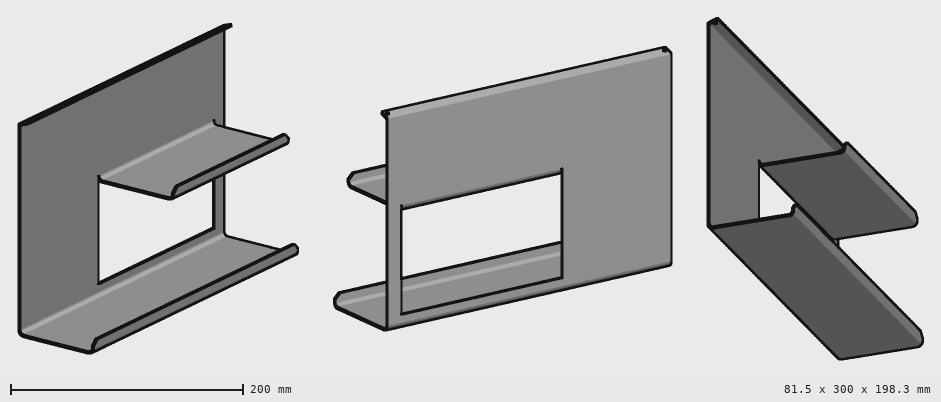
import cadquery as cq
import math

length = 300.0
height = 198.3
sheet = 2.0
bend_radius = 5.5
lip_chamfer = 5.0

lower_depth = 80.5
lower_lip_height = 12.5
shelf_end_step = 0.5

upper_depth = 81.5
upper_bottom = 106.8
upper_lip_height = 11.7
window_bottom = 13.0
window_top = upper_bottom + bend_radius
window_width = 170.0
window_margin = 14.5
tab_clearance = 1.0

flange_angle = 20.0
flange_reach = 10.0
flange_bend_radius = 2.5
flange_corner_radius = 1.0
hole_diameter = 2.7
hole_x = 5.5
hole_end_distance = 3.5

plate_start = shelf_end_step
plate_length = length - plate_start


def extrude_along_y(profile, start, distance):
    """Extrude an XZ profile from Y = start towards +Y."""
    return profile.extrude(-distance).translate((0, start, 0))


def shelf(bottom, depth, lip_height, start, width):
    """Shelf with a bend to the back plate and an upturned front lip with bevelled corners."""
    inner_radius = bend_radius - sheet
    bend_top = bottom + bend_radius
    lip_top = bottom + lip_height
    diagonal = math.sqrt(0.5)
    outer_mid = bend_radius * (1 - diagonal)
    inner_mid = bend_radius - inner_radius * diagonal
    profile = (
        cq.Workplane("XZ")
        .moveTo(0, bend_top)
        .threePointArc((outer_mid, bottom + outer_mid), (bend_radius, bottom))
        .lineTo(depth - bend_radius, bottom)
        .threePointArc((depth - outer_mid, bottom + outer_mid), (depth, bend_top))
        .lineTo(depth, lip_top)
        .lineTo(depth - sheet, lip_top)
        .lineTo(depth - sheet, bend_top)
        .threePointArc((depth - inner_mid, bottom + inner_mid), (depth - bend_radius, bottom + sheet))
        .lineTo(bend_radius, bottom + sheet)
        .threePointArc((inner_mid, bottom + inner_mid), (sheet, bend_top))
        .close()
    )
    lip_corners = cq.selectors.BoxSelector(
        (depth - 2 * sheet, start - sheet, lip_top - sheet / 2),
        (depth + sheet, start + width + sheet, lip_top + sheet / 2),
    )
    blank = extrude_along_y(profile, start, width)
    return blank.edges("|X").edges(lip_corners).chamfer(lip_chamfer)


def back_plate():
    """Vertical plate with the tab window cut through it."""
    plate = cq.Workplane("XY").box(
        sheet, plate_length, bend_center_z - bend_radius, centered=False
    ).translate((0, plate_start, bend_radius))
    window = cq.Workplane("XY").box(
        sheet, window_width, window_top - window_bottom, centered=False
    ).translate((0, window_start, window_bottom))
    return plate.cut(window)


def top_flange():
    """Bend and sloping strip that continue the back plate at its top edge."""
    inner_radius = flange_bend_radius - sheet

    def on_bend(radius, degrees):
        angle = math.radians(degrees)
        return (
            flange_bend_radius + radius * math.cos(angle),
            bend_center_z + radius * math.sin(angle),
        )

    bend_end = 90 + flange_angle
    bend_middle = (180 + bend_end) / 2
    profile = (
        cq.Workplane("XZ")
        .moveTo(0, bend_center_z)
        .threePointArc(on_bend(flange_bend_radius, bend_middle), on_bend(flange_bend_radius, bend_end))
        .lineTo(strip_top_x, height)
        .lineTo(flange_reach, height - sheet * math.cos(slope))
        .lineTo(*on_bend(inner_radius, bend_end))
        .threePointArc(on_bend(inner_radius, bend_middle), (sheet, bend_center_z))
        .close()
    )
    flange = extrude_along_y(profile, plate_start, plate_length)
    free_edge = cq.Vector(math.cos(slope), 0, math.sin(slope))
    tip = cq.selectors.DirectionMinMaxSelector(free_edge)
    flange = flange.faces(tip).edges("#Y").fillet(flange_corner_radius)

    rise = (strip_top_x - hole_x) * math.tan(slope)
    normal = cq.Vector(-math.sin(slope), 0, math.cos(slope))
    for y in (plate_start + hole_end_distance, length - hole_end_distance):
        outer_point = cq.Vector(hole_x, y, height - rise)
        drill_start = outer_point - normal * (2 * sheet)
        hole = cq.Solid.makeCylinder(hole_diameter / 2, 4 * sheet, drill_start, normal)
        flange = flange.cut(cq.Workplane(hole))
    return flange


def shelf_end_strip():
    """Flat -Y edge of the lower shelf between its two bends."""
    return cq.Workplane("XY").box(
        lower_depth - 2 * bend_radius, shelf_end_step, sheet, centered=False
    ).translate((bend_radius, 0, 0))


slope = math.radians(flange_angle)
strip_top_x = flange_reach - sheet * math.sin(slope)
bend_end_x = flange_bend_radius * (1 - math.sin(slope))
strip_rise = (strip_top_x - bend_end_x) * math.tan(slope)
bend_center_z = height - strip_rise - flange_bend_radius * math.cos(slope)

window_start = length - window_margin - window_width
tab_start = window_start + tab_clearance
tab_width = window_width - 2 * tab_clearance

lower_shelf = shelf(0, lower_depth, lower_lip_height, plate_start, plate_length)
upper_shelf = shelf(upper_bottom, upper_depth, upper_lip_height, tab_start, tab_width)

result = (
    back_plate()
    .union(top_flange())
    .union(lower_shelf)
    .union(shelf_end_strip())
    .union(upper_shelf)
)